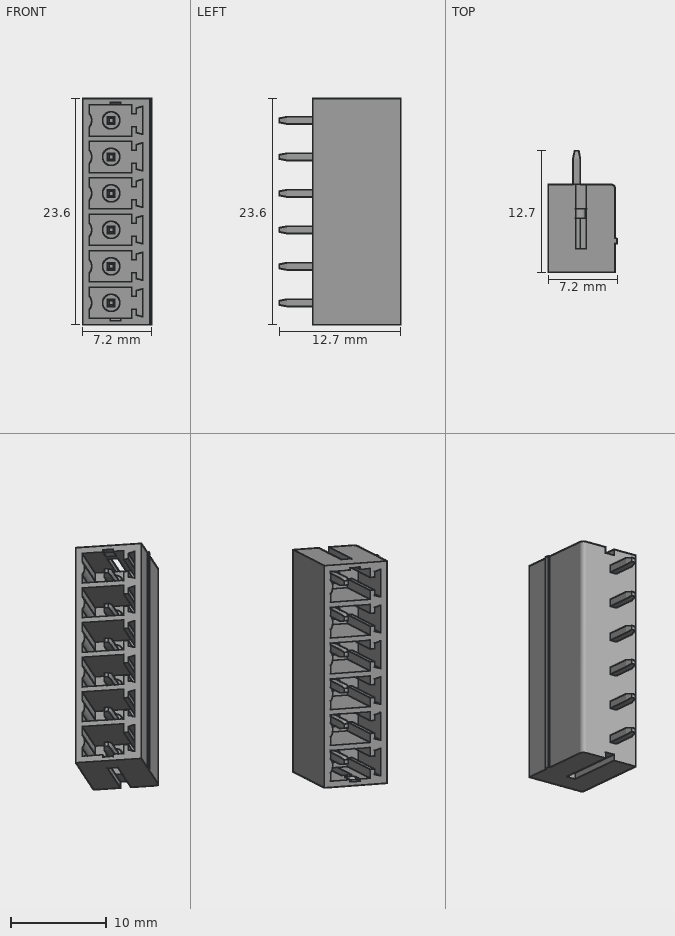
import cadquery as cq


body_width = 7.0
body_depth = 9.2
body_height = 23.65
edge_radius = 0.47

socket_count = 6
pitch = 3.8
pin_x = 2.98

socket_left = 0.69
socket_step = 5.1
socket_depth = 6.65
socket_half_height = 1.63
bump_height = 0.25
bump_half_chord = 0.73
neck_half_height = 0.69
neck_end = 5.6
dovetail_half_start = 1.28
dovetail_half_end = 1.47
dovetail_end = 6.3

collar_radius = 0.9
collar_height = 0.97

pin_size = 0.78
pin_tip_size = 0.45
pin_taper_length = 0.83
pin_rear_length = 3.5
pin_front_gap = 1.42

slot_width = 1.1
slot_x = 3.43
slot_front = 2.48
notch_depth = 0.24
notch_flat_length = 0.95
notch_length = 1.63

rib_height = 0.2
rib_front = 2.98
rib_back = 3.57
rib_lip = 0.05
rib_chamfer = 0.07

overlap = 0.12

end_socket_z = pitch * (socket_count - 1) / 2
socket_centres = [index * pitch - end_socket_z for index in range(socket_count)]
end_wall = body_height / 2 - end_socket_z - socket_half_height


def front_plane(y, z=0):
    """Sketch plane at depth y with +X right and +Z up; negative extrusion runs towards +Y."""
    return cq.Workplane(cq.Plane(origin=(0, y, z), xDir=(1, 0, 0), normal=(0, -1, 0)))


def housing():
    block = cq.Workplane("XY").box(body_width, body_depth, body_height, centered=(False, False, True))
    return block.edges("|Z and >X and >Y").fillet(edge_radius)


def latch_rib():
    tip = body_width + rib_height
    return (
        cq.Workplane("XY", origin=(0, 0, -body_height / 2))
        .moveTo(body_width - overlap, rib_front + rib_lip)
        .lineTo(body_width, rib_front + rib_lip)
        .lineTo(tip, rib_front)
        .lineTo(tip, rib_back - rib_chamfer)
        .lineTo(tip - rib_chamfer, rib_back)
        .lineTo(body_width - overlap, rib_back)
        .close()
        .extrude(body_height)
    )


def socket(z):
    """Cavity of one socket: main bay with a bump on the left, a narrow neck and a dovetail bay."""
    cavity = (
        front_plane(0, z)
        .moveTo(socket_left, -socket_half_height)
        .lineTo(socket_step, -socket_half_height)
        .lineTo(socket_step, -neck_half_height)
        .lineTo(neck_end, -neck_half_height)
        .lineTo(neck_end, -dovetail_half_start)
        .lineTo(dovetail_end, -dovetail_half_end)
        .lineTo(dovetail_end, dovetail_half_end)
        .lineTo(neck_end, dovetail_half_start)
        .lineTo(neck_end, neck_half_height)
        .lineTo(socket_step, neck_half_height)
        .lineTo(socket_step, socket_half_height)
        .lineTo(socket_left, socket_half_height)
        .lineTo(socket_left, bump_half_chord)
        .threePointArc((socket_left + bump_height, 0), (socket_left, -bump_half_chord))
        .close()
        .extrude(-socket_depth)
    )
    collar = (
        front_plane(socket_depth - collar_height, z)
        .center(pin_x, 0)
        .circle(collar_radius)
        .extrude(-collar_height)
    )
    return cavity.cut(collar)


def pin(z):
    """Square pin through the socket floor, tapered at both ends."""
    front = pin_front_gap + pin_taper_length
    back = body_depth + pin_rear_length - pin_taper_length

    def square(y, size):
        return front_plane(y, z).center(pin_x, 0).rect(size, size)

    shank = square(front, pin_size).extrude(front - back)
    front_tip = (
        square(pin_front_gap, pin_tip_size)
        .workplane(offset=-pin_taper_length)
        .rect(pin_size, pin_size)
        .loft()
    )
    back_tip = (
        square(back, pin_size)
        .workplane(offset=-pin_taper_length)
        .rect(pin_tip_size, pin_tip_size)
        .loft()
    )
    return shank.union(front_tip).union(back_tip)


def top_slot():
    """Slot in the top wall, open at the back and into the end socket."""
    return (
        cq.Workplane("XY")
        .box(slot_width, body_depth - slot_front, end_wall, centered=(True, False, False))
        .translate((slot_x, slot_front, body_height / 2 - end_wall))
    )


def top_notch():
    """Shallow notch in the ceiling of the top socket, flat at the mouth and ramped out behind."""
    ceiling = body_height / 2 - end_wall
    return (
        cq.Workplane("YZ", origin=(slot_x, 0, 0))
        .moveTo(0, ceiling)
        .lineTo(0, ceiling + notch_depth)
        .lineTo(notch_flat_length, ceiling + notch_depth)
        .lineTo(notch_length, ceiling)
        .close()
        .extrude(slot_width / 2, both=True)
    )


result = housing().union(latch_rib())
for centre in socket_centres:
    result = result.cut(socket(centre))

for recess in (top_slot(), top_notch()):
    result = result.cut(recess).cut(recess.mirror("XY"))

for centre in socket_centres:
    result = result.union(pin(centre))